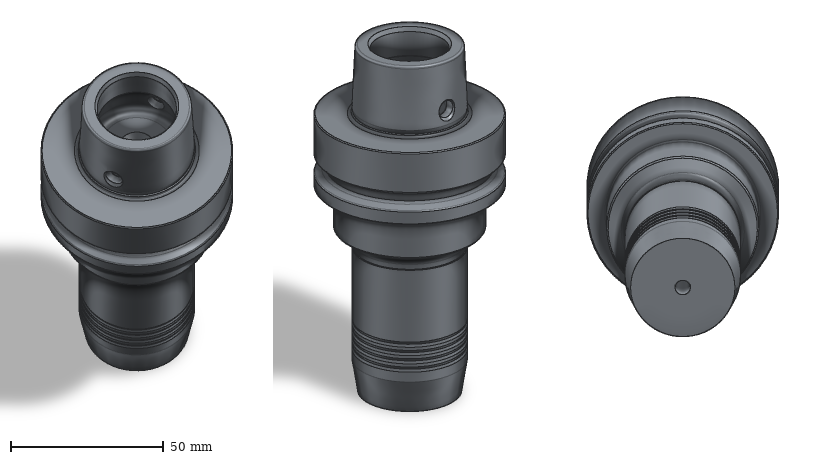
import cadquery as cq
import math

total_height = 124.9
flange_top = 99.9
flange_bottom = 74.0

nose_tip_radius = 17.1
nose_taper_height = 11.5
barrel_radius = 19.0
barrel_top = 51.8

ring_groove_count = 4
ring_groove_pitch = 3.0
ring_groove_half_width = 0.94
ring_groove_depth = 0.4
top_ring_groove_z = 25.0

neck_radius = 18.7
neck_step = barrel_radius - neck_radius
flare_fillet_angle = math.radians(33)
flare_fillet = 3.2
flare_fillet_start = 53.8
collar_radius = 25.0
collar_bottom = 59.2
collar_edge_drop = 0.6
collar_edge_inset = 0.5
collar_root_fillet = 0.6

flange_radius = 31.5
flange_chamfer = 0.4
gripper_mouth_bottom = 78.5
gripper_mouth_top = 85.7
gripper_groove_z = (gripper_mouth_bottom + gripper_mouth_top) / 2
gripper_mouth_half_width = (gripper_mouth_top - gripper_mouth_bottom) / 2
gripper_floor_radius = 27.6
gripper_floor_half_width = 1.2
gripper_ledge_radius = 29.0
gripper_ledge_half_width = 1.9

taper_foot_radius = 19.0
taper_foot_z = 102.3
taper_top_radius = 18.0
shank_edge_height = 0.9
shank_edge_width = 0.7
relief_radius = 18.7
relief_z = 100.9
shank_root_radius = 19.2
shank_root_z = 100.7
shank_root_middle = (19.5, 100.0)
shank_root_outer_radius = 20.5

mouth_radius = 13.7
mouth_chamfer_height = 1.5
cavity_entry_radius = 13.0
cavity_lip_z = 114.8
undercut_radius = 15.2
shoulder_angle = math.radians(30)
cavity_floor_radius = 11.7
cavity_floor_z = 102.2
floor_funnel_radius = 5.9
funnel_depth = 2.0
coolant_hole_radius = 2.5

cross_hole_z = 107.5
cross_hole_radius = 3.0
countersink_start = 18.0


def outer_body():
    """Solid of revolution bounded by the outside profile."""
    profile = cq.Workplane("XZ").lineTo(nose_tip_radius, 0)
    profile = profile.lineTo(barrel_radius, nose_taper_height).lineTo(barrel_radius, barrel_top)
    profile = profile.lineTo(neck_radius, barrel_top + neck_step).lineTo(neck_radius, flare_fillet_start)

    fillet_end = (
        neck_radius + flare_fillet * (1 - math.sin(flare_fillet_angle)),
        flare_fillet_start + flare_fillet * math.cos(flare_fillet_angle),
    )
    profile = profile.tangentArcPoint(fillet_end, relative=False)
    profile = profile.lineTo(collar_radius - collar_edge_inset, collar_bottom - collar_edge_drop)
    profile = profile.lineTo(collar_radius, collar_bottom)
    profile = profile.lineTo(collar_radius, flange_bottom - collar_root_fillet)
    profile = profile.tangentArcPoint((collar_radius + collar_root_fillet, flange_bottom), relative=False)

    profile = profile.lineTo(flange_radius - flange_chamfer, flange_bottom)
    profile = profile.lineTo(flange_radius, flange_bottom + flange_chamfer)
    profile = profile.lineTo(flange_radius, flange_top - flange_chamfer)
    profile = profile.lineTo(flange_radius - flange_chamfer, flange_top)
    profile = profile.lineTo(shank_root_outer_radius, flange_top)

    profile = profile.threePointArc(shank_root_middle, (shank_root_radius, shank_root_z))
    profile = profile.lineTo(relief_radius, relief_z).lineTo(taper_foot_radius, taper_foot_z)
    profile = profile.lineTo(taper_top_radius, total_height - shank_edge_height)
    profile = profile.tangentArcPoint((taper_top_radius - shank_edge_width, total_height), relative=False)
    profile = profile.lineTo(0, total_height).close()
    return profile.revolve(360, (0, 0), (0, 1))


def gripper_groove():
    """Ring with chamfered mouth and walls that flatten towards the floor."""
    wall = [
        (gripper_floor_radius, gripper_floor_half_width),
        (gripper_ledge_radius, gripper_ledge_half_width),
        (flange_radius - flange_chamfer, gripper_mouth_half_width - flange_chamfer),
        (flange_radius, gripper_mouth_half_width),
    ]
    upper_wall = [(radius, gripper_groove_z + offset) for radius, offset in wall]
    lower_wall = [(radius, gripper_groove_z - offset) for radius, offset in reversed(wall)]
    profile = cq.Workplane("XZ").polyline(upper_wall + lower_wall).close()
    return profile.revolve(360, (0, 0), (0, 1))


def ring_groove(z):
    """Shallow V-shaped ring around the barrel."""
    half = ring_groove_half_width
    bottom_radius = barrel_radius - ring_groove_depth
    return (
        cq.Workplane("XZ")
        .moveTo(barrel_radius, z - half)
        .lineTo(bottom_radius, z)
        .lineTo(barrel_radius, z + half)
        .close()
        .revolve(360, (0, 0), (0, 1))
    )


def cavity():
    """Clamping cavity, undercut below its lip, with a funnel into the coolant hole."""
    floor_fillet = undercut_radius - cavity_floor_radius
    shoulder_drop = (undercut_radius - cavity_entry_radius) * math.tan(shoulder_angle)
    undercut_top = cavity_lip_z - shoulder_drop
    profile = cq.Workplane("XZ").lineTo(coolant_hole_radius, 0)
    profile = profile.lineTo(coolant_hole_radius, cavity_floor_z - funnel_depth)
    profile = profile.lineTo(floor_funnel_radius, cavity_floor_z)
    profile = profile.lineTo(cavity_floor_radius, cavity_floor_z)
    profile = profile.tangentArcPoint((undercut_radius, cavity_floor_z + floor_fillet), relative=False)
    profile = profile.lineTo(undercut_radius, undercut_top).lineTo(cavity_entry_radius, cavity_lip_z)
    profile = profile.lineTo(cavity_entry_radius, total_height - mouth_chamfer_height)
    profile = profile.lineTo(mouth_radius, total_height).lineTo(0, total_height).close()
    return profile.revolve(360, (0, 0), (0, 1))


def cross_hole():
    """Hole along Y, countersunk at 45 degrees on both sides of the shank."""
    countersink_radius = cross_hole_radius + taper_foot_radius - countersink_start
    profile = (
        cq.Workplane("XY")
        .lineTo(cross_hole_radius, 0)
        .lineTo(cross_hole_radius, countersink_start)
        .lineTo(countersink_radius, taper_foot_radius)
        .lineTo(0, taper_foot_radius)
        .close()
    )
    half = profile.revolve(360, (0, 0), (0, 1))
    return half.union(half.mirror("XZ")).translate((0, 0, cross_hole_z))


result = outer_body().cut(gripper_groove())
for index in range(ring_groove_count):
    result = result.cut(ring_groove(top_ring_groove_z - index * ring_groove_pitch))
result = result.cut(cavity()).cut(cross_hole())